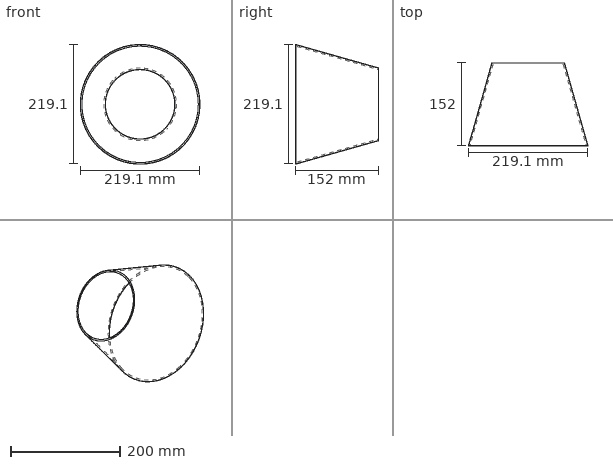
import math

import cadquery as cq

large_diameter = 219.1
small_diameter = 133.0
wall = 3.0
length = 152.0

large_radius = large_diameter / 2
small_radius = small_diameter / 2
half_cone_angle = math.atan2(large_radius - small_radius, length)
end_ring_width = wall / math.cos(half_cone_angle)


def reducer_shell():
    """Revolve the sloping wall section, with flat ring ends, around the Y axis."""
    section = (
        cq.Workplane("XY")
        .moveTo(large_radius - end_ring_width, 0)
        .lineTo(large_radius, 0)
        .lineTo(small_radius, length)
        .lineTo(small_radius - end_ring_width, length)
        .close()
    )
    return section.revolve(360, (0, 0, 0), (0, 1, 0))


result = reducer_shell()